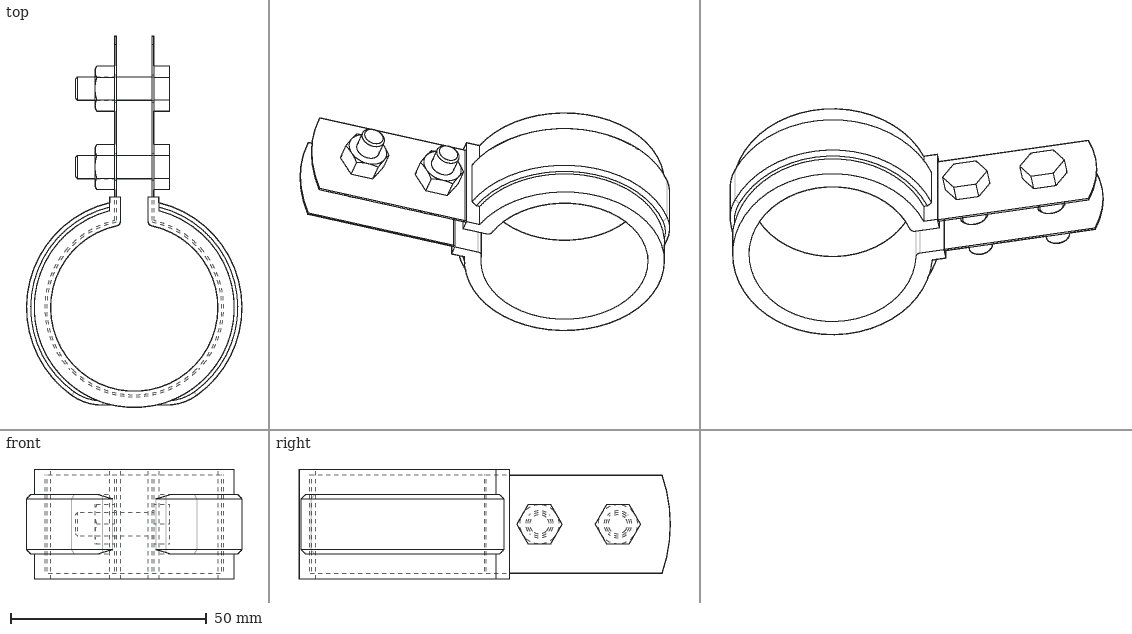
import cadquery as cq
import math

liner_height = 28.0
liner_inner_radius = 21.3
liner_outer_radius = 25.5
gap_half_width = 3.5
flange_outer_x = 6.25
flange_end_y = 28.25
flange_corner_radius = 1.25

bead_radius = 27.5
bead_height = 15.2
bead_chamfer = 1.1
bead_front_y = -24.9
bead_blend_radius = 13.5

strap_thickness = 0.5
strap_width = 25.0
ear_outer_x = 5.0
ear_end_y = 69.25
ear_end_rise = 2.1

first_bolt_y = 35.85
bolt_spacing = 20.0
bolt_diameter = 6.0
bolt_tip_diameter = 4.92
bolt_length = 20.0
bolt_hole_diameter = 7.0
hex_across_flats = 10.0
head_height = 4.0
nut_height = 5.0
nut_bevel_angle = math.radians(30)

ear_inner_x = ear_outer_x - strap_thickness
strap_inner_radius = liner_inner_radius + ear_inner_x - gap_half_width
strap_outer_radius = strap_inner_radius + strap_thickness
hex_corner_diameter = hex_across_flats / math.cos(math.radians(30))
bolt_ys = (first_bolt_y, first_bolt_y + bolt_spacing)


def circle_y(radius, x):
    """Height of the +Y half of a circle about the clamp axis."""
    return math.sqrt(radius**2 - x**2)


def split_ring(inner_radius, outer_radius, inner_x, outer_x, end_y, height):
    """Ring open toward +Y whose two ends turn into straight legs along Y."""
    inner_y = circle_y(inner_radius, inner_x)
    outer_y = circle_y(outer_radius, outer_x)
    return (
        cq.Workplane("XY")
        .workplane(offset=-height / 2)
        .moveTo(inner_x, inner_y)
        .lineTo(inner_x, end_y)
        .lineTo(outer_x, end_y)
        .lineTo(outer_x, outer_y)
        .threePointArc((0, -outer_radius), (-outer_x, outer_y))
        .lineTo(-outer_x, end_y)
        .lineTo(-inner_x, end_y)
        .lineTo(-inner_x, inner_y)
        .threePointArc((0, -inner_radius), (inner_x, inner_y))
        .close()
        .extrude(height)
    )


def make_bead():
    """Chamfered bead blank, flattened at -Y and trimmed to the ring's outside."""
    blend_y = bead_front_y + bead_blend_radius
    blend_x = math.sqrt((bead_radius - bead_blend_radius)**2 - blend_y**2)
    to_circle = bead_radius / (bead_radius - bead_blend_radius)
    touch_x = blend_x * to_circle
    touch_y = blend_y * to_circle
    middle_angle = (math.atan2(blend_y, blend_x) - math.pi / 2) / 2
    middle_x = blend_x + bead_blend_radius * math.cos(middle_angle)
    middle_y = blend_y + bead_blend_radius * math.sin(middle_angle)

    blank = (
        cq.Workplane("XY")
        .workplane(offset=-bead_height / 2)
        .moveTo(-blend_x, bead_front_y)
        .lineTo(blend_x, bead_front_y)
        .threePointArc((middle_x, middle_y), (touch_x, touch_y))
        .threePointArc((0, bead_radius), (-touch_x, touch_y))
        .threePointArc((-middle_x, middle_y), (-blend_x, bead_front_y))
        .close()
        .extrude(bead_height)
        .faces("|Z")
        .chamfer(bead_chamfer)
    )
    core_radius = (strap_outer_radius + liner_outer_radius) / 2
    core = cq.Workplane("XY").circle(core_radius).extrude(bead_height, both=True)
    opening = cq.Workplane("XY").box(
        2 * flange_outer_x, bead_radius, bead_height, centered=(True, False, True)
    )
    return blank.cut(core).cut(opening)


def make_strap():
    strap = split_ring(
        strap_inner_radius, strap_outer_radius, ear_inner_x, ear_outer_x, ear_end_y, strap_width
    )
    end_corner_y = ear_end_y - ear_end_rise
    side_outline = (
        cq.Workplane("YZ")
        .workplane(offset=-bead_radius)
        .moveTo(-bead_radius, -strap_width / 2)
        .lineTo(end_corner_y, -strap_width / 2)
        .threePointArc((ear_end_y, 0), (end_corner_y, strap_width / 2))
        .lineTo(-bead_radius, strap_width / 2)
        .close()
        .extrude(2 * bead_radius)
    )
    holes = (
        cq.Workplane("YZ")
        .pushPoints([(y, 0) for y in bolt_ys])
        .circle(bolt_hole_diameter / 2)
        .extrude(2 * ear_outer_x, both=True)
    )
    return strap.intersect(side_outline).cut(holes)


def make_liner(strap):
    liner = split_ring(
        liner_inner_radius, liner_outer_radius, gap_half_width, flange_outer_x, flange_end_y, liner_height
    )
    bore_corner_y = circle_y(liner_inner_radius, gap_half_width)
    for x in (-gap_half_width, gap_half_width):
        corner = cq.selectors.NearestToPointSelector((x, bore_corner_y, 0))
        liner = liner.edges("|Z").edges(corner).fillet(flange_corner_radius)
    return liner.union(make_bead()).cut(strap)


def hexagon(height):
    """Hexagonal prism along +X with two flats facing up and down."""
    return cq.Workplane("YZ").polygon(6, hex_corner_diameter).extrude(height)


def make_bolt(y):
    """Hex bolt pointing toward -X, its head seated on the +X ear."""
    shank = (
        cq.Workplane("YZ")
        .circle(bolt_diameter / 2)
        .extrude(-bolt_length)
        .faces("<X")
        .chamfer((bolt_diameter - bolt_tip_diameter) / 2)
    )
    return hexagon(head_height).union(shank).translate((ear_outer_x, y, 0))


def make_nut(y):
    """Hex nut on the -X ear with its corners bevelled on the free face."""
    flat_radius = hex_across_flats / 2
    cone_rise = flat_radius * math.tan(nut_bevel_angle)
    bevel = (
        cq.Workplane("XY")
        .moveTo(0, 0)
        .lineTo(0, flat_radius)
        .lineTo(cone_rise, 2 * flat_radius)
        .lineTo(nut_height, 2 * flat_radius)
        .lineTo(nut_height, 0)
        .close()
        .revolve(360, (0, 0, 0), (1, 0, 0))
    )
    bore = cq.Workplane("YZ").circle(bolt_diameter / 2).extrude(nut_height)
    return hexagon(nut_height).intersect(bevel).cut(bore).translate((-ear_outer_x - nut_height, y, 0))


strap = make_strap()
liner = make_liner(strap)
bolts = [make_bolt(y) for y in bolt_ys]
nuts = [make_nut(y) for y in bolt_ys]

result = cq.Compound.makeCompound(
    [liner.val(), strap.val()] + [bolt.val() for bolt in bolts] + [nut.val() for nut in nuts]
)